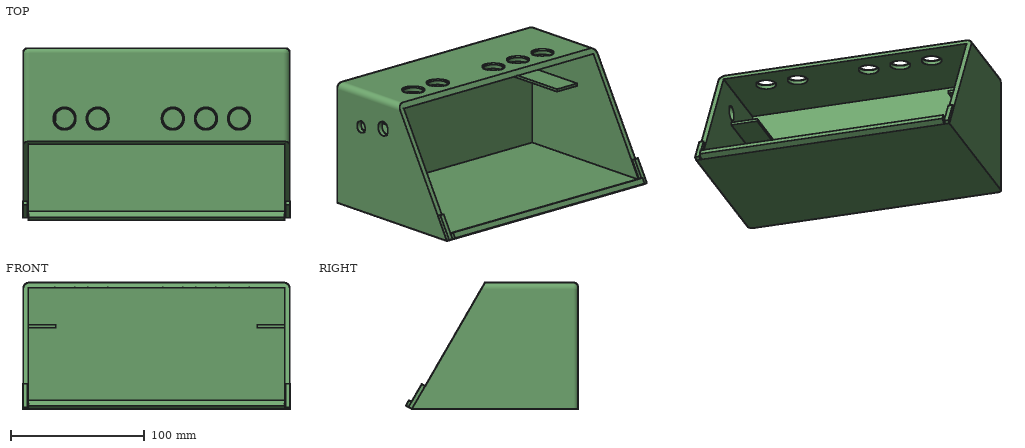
import cadquery as cq
import math

overall_width = 200.3
strip_overhang = 0.1
body_width = overall_width - 2 * strip_overhang
height = 95.0
total_depth = 129.2
wall = 4.0
tilt = 30.0
side_edge_radius = 5.0
back_edge_radius = 3.6

strip_width = 3.5
strip_length = 20.0
strip_thickness = 3.0
lip_thickness = 5.2
lip_end_gap = 4.2

button_diameter = 15.0
button_rim_diameter = 17.0
button_rim_depth = 1.0
button_pitch = 24.8
left_pair_x = -69.0
right_group_x = 12.2
button_y = -52.9

side_holes = [(9.0, -29.0, 66.5), (11.0, -53.5, 71.1)]

tab_length = 20.5
tab_thickness = 2.0
tab_top_z = 63.0
tab_front_y = -54.0

slope_sin = math.sin(math.radians(tilt))
slope_cos = math.cos(math.radians(tilt))
slope_tan = slope_sin / slope_cos
lip_height = wall / slope_cos
base_depth = total_depth - lip_thickness * slope_cos
roof_depth = base_depth - height * slope_tan


def side_profile(points, x_start, length):
    """Extrude a (y, z) outline along +X from x_start."""
    return cq.Workplane("YZ", origin=(x_start, 0, 0)).polyline(points).close().extrude(length)


def make_shell():
    outline = [(0, 0), (-base_depth, 0), (-roof_depth, height), (0, height)]
    body = side_profile(outline, -body_width / 2, body_width)
    body = body.edges("|Y and >Z").fillet(side_edge_radius)
    body = body.faces(">Y").edges("not <Z").fillet(back_edge_radius)

    inner_height = height - 2 * wall
    cavity_depth = total_depth
    cavity = cq.Workplane("XY").box(
        body_width - 2 * wall, cavity_depth, inner_height, centered=(True, False, False)
    ).translate((0, -wall - cavity_depth, wall))
    return body.cut(cavity)


def make_rail(x_start, length, rail_height, thickness):
    """Bar lying on the front plane, rising from its bottom edge."""
    up_slope = (rail_height * slope_sin, rail_height * slope_cos)
    outward = (-thickness * slope_cos, thickness * slope_sin)
    foot = (-base_depth, 0)
    top = (foot[0] + up_slope[0], up_slope[1])
    outer_top = (top[0] + outward[0], top[1] + outward[1])
    outer_foot = (foot[0] + outward[0], outward[1])
    return side_profile([foot, outer_foot, outer_top, top], x_start, length)


def make_tab(x_start):
    tab = cq.Workplane("XY").box(tab_length, -tab_front_y - wall, tab_thickness, centered=False)
    return tab.translate((x_start, tab_front_y, tab_top_z - tab_thickness))


result = make_shell()

inner_half_width = body_width / 2 - wall
for strip_x in (-overall_width / 2, overall_width / 2 - strip_width):
    result = result.union(make_rail(strip_x, strip_width, strip_length, strip_thickness))
lip_length = overall_width - 2 * lip_end_gap
result = result.union(make_rail(-lip_length / 2, lip_length, lip_height, lip_thickness))
for tab_x in (-inner_half_width, inner_half_width - tab_length):
    result = result.union(make_tab(tab_x))

button_points = [(left_pair_x + i * button_pitch, button_y) for i in range(2)]
button_points += [(right_group_x + i * button_pitch, button_y) for i in range(3)]
roof_plane = cq.Workplane("XY", origin=(0, 0, height)).pushPoints(button_points)
result = result.cut(roof_plane.circle(button_diameter / 2).extrude(-wall))
rim_taper = math.degrees(math.atan((button_rim_diameter - button_diameter) / 2 / button_rim_depth))
rim_cones = roof_plane.circle(button_rim_diameter / 2).extrude(-button_rim_depth, taper=rim_taper)
result = result.cut(rim_cones)

for diameter, y, z in side_holes:
    hole = cq.Workplane("YZ", origin=(-body_width / 2, y, z)).circle(diameter / 2).extrude(wall)
    result = result.cut(hole)